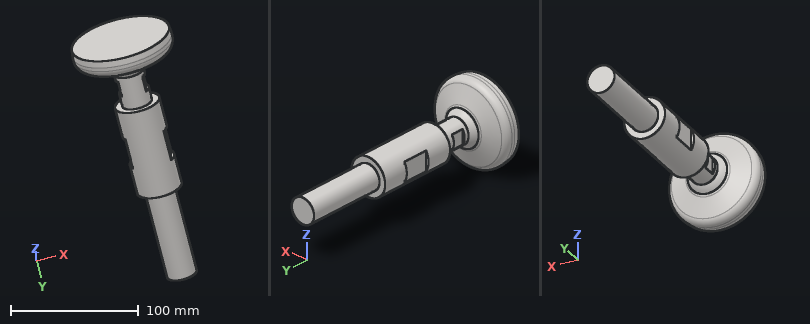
import cadquery as cq
import math

TOTAL_LENGTH = 206.5

ROD_DIAMETER = 24.0
ROD_FLAT_WIDTH = 19.5
ROD_FLAT_START = 33.0
ROD_FLAT_LENGTH = 12.4

FOOT_DIAMETER = 80.0
SOLE_DIAMETER = 78.5
RIM_START = 5.5
RIM_END = 8.7
SHOULDER_RADIUS = 7.5
CONE_TOP_RADIUS = 19.5
CONE_TOP = 21.9
LIP_TOP = 23.0

BALL_RADIUS = 20.6
BALL_CENTER = 11.8

SLEEVE_DIAMETER = 36.0
SLEEVE_START = 56.2
SLEEVE_LENGTH = 75.0
SLEEVE_FLAT_WIDTH = 30.8
SLEEVE_FLAT_LENGTH = 25.0


def cylinder(diameter, start, length):
    """Cylinder on the Y axis, running from Y = start toward +Y."""
    plane = cq.Workplane("XZ", origin=(0, start, 0))
    return plane.circle(diameter / 2).extrude(-length)


def cut_flats(body, diameter, width, start, length):
    """Cut two opposite flats, facing -X and +X, a given width apart."""
    depth = (diameter - width) / 2
    for side in (-1, 1):
        block = cq.Workplane("XY").box(depth, length, diameter)
        body = body.cut(block.translate((side * (width + depth) / 2, start + length / 2, 0)))
    return body


def ball_radius_at(y):
    """Radius of the ball's section at height y along the axis."""
    return math.sqrt(BALL_RADIUS**2 - (y - BALL_CENTER) ** 2)


def make_foot():
    """Revolved foot: tapered edge, rim, rounded shoulder, cone, lip and ball."""
    rim_radius = FOOT_DIAMETER / 2
    rod_radius = ROD_DIAMETER / 2
    arc_center = (rim_radius - SHOULDER_RADIUS, RIM_END)

    def shoulder_point(angle):
        return (
            arc_center[0] + SHOULDER_RADIUS * math.cos(angle),
            arc_center[1] + SHOULDER_RADIUS * math.sin(angle),
        )

    run = CONE_TOP_RADIUS - arc_center[0]
    rise = CONE_TOP - arc_center[1]
    shoulder_angle = math.atan2(rise, run) - math.acos(SHOULDER_RADIUS / math.hypot(run, rise))

    ball_top = BALL_CENTER + math.sqrt(BALL_RADIUS**2 - rod_radius**2)
    ball_middle = (LIP_TOP + ball_top) / 2
    return (
        cq.Workplane("XY")
        .lineTo(SOLE_DIAMETER / 2, 0)
        .lineTo(rim_radius, RIM_START)
        .lineTo(rim_radius, RIM_END)
        .threePointArc(shoulder_point(shoulder_angle / 2), shoulder_point(shoulder_angle))
        .lineTo(CONE_TOP_RADIUS, CONE_TOP)
        .lineTo(ball_radius_at(LIP_TOP), LIP_TOP)
        .threePointArc((ball_radius_at(ball_middle), ball_middle), (rod_radius, ball_top))
        .lineTo(0, ball_top)
        .close()
        .revolve(360, (0, 0), (0, 1))
    )


def make_spindle():
    """Rod with spanner flats, in one piece with the foot."""
    rod = cylinder(ROD_DIAMETER, LIP_TOP, TOTAL_LENGTH - LIP_TOP)
    rod = cut_flats(rod, ROD_DIAMETER, ROD_FLAT_WIDTH, ROD_FLAT_START, ROD_FLAT_LENGTH)
    return make_foot().union(rod)


def make_sleeve():
    """Sleeve bored to fit the rod, with spanner flats at mid-length."""
    sleeve = cylinder(SLEEVE_DIAMETER, SLEEVE_START, SLEEVE_LENGTH)
    bore = cylinder(ROD_DIAMETER, SLEEVE_START, SLEEVE_LENGTH)
    flat_start = SLEEVE_START + (SLEEVE_LENGTH - SLEEVE_FLAT_LENGTH) / 2
    sleeve = cut_flats(sleeve, SLEEVE_DIAMETER, SLEEVE_FLAT_WIDTH, flat_start, SLEEVE_FLAT_LENGTH)
    return sleeve.cut(bore)


spindle = make_spindle()
sleeve = make_sleeve()
result = cq.Compound.makeCompound([spindle.solids().val(), sleeve.solids().val()])